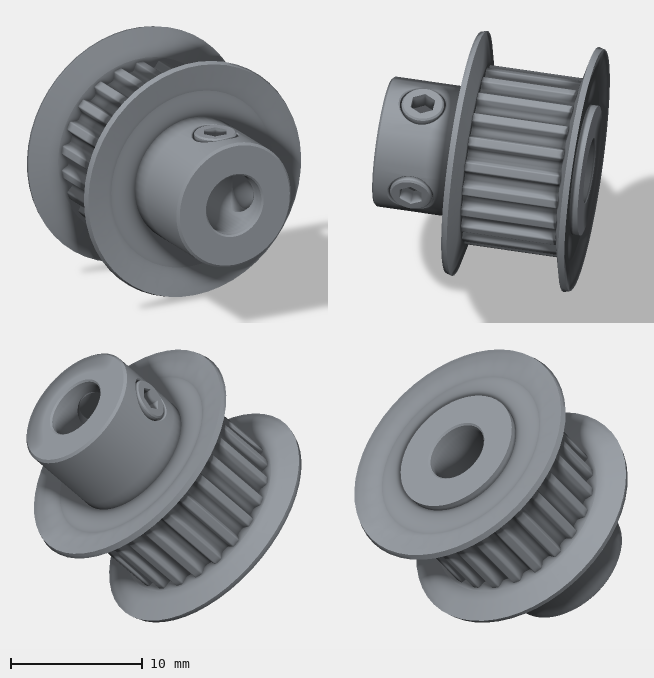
import cadquery as cq
import math


overall_length = 15.89
hub_radius = 4.98
hub_end_chamfer = 0.19
bore_radius = 2.39
bore_chamfer = 0.13

flange_radius = 9.4
flange_rim_drop = 0.13
flange_rim_width = 0.45
flange_flat_thickness = 0.64
flange_angle = math.radians(15)
flange_inner_flat_radius = 7.15
flange_outer_flat_radius = 7.05
teeth_start = 1.26
teeth_end = 8.65

tooth_count = 22
tooth_tip_radius = 6.86
groove_depth = 0.64
groove_floor_half_width = 0.32
groove_flank_angle = math.radians(28)
groove_floor_fillet = 0.26
tooth_tip_fillet = 0.13

screw_x = 12.88
screw_radius = 1.62
screw_chamfer = 0.122
screw_top = hub_radius
screw_bottom = bore_radius
socket_flat_width = 1.71
socket_depth = 1.32
screw_hole_radius = 1.75
screw_hole_chamfer = 0.1
screw_turns = [0, -90]


def revolve_about_x(points):
    """Solid of revolution from (x, radius) points; its seam lies on the -Z side."""
    outline = [(x, -radius) for x, radius in points]
    return cq.Workplane("XZ").polyline(outline).close().revolve(360, (0, 0, 0), (1, 0, 0))


def turn_about_x(body, turn):
    return body.rotate((0, 0, 0), (1, 0, 0), turn)


def x_cylinder(radius, start, end):
    return cq.Workplane("YZ", origin=(start, 0, 0)).circle(radius).extrude(end - start)


def make_flange(inner_face_x, outward):
    """Dished disc with its flat inner face at inner_face_x; outward is -1 or 1 along X."""
    rim_start = (flange_radius - flange_inner_flat_radius) * math.tan(flange_angle)
    outline = [
        (0, 0),
        (0, flange_inner_flat_radius),
        (rim_start, flange_radius),
        (rim_start + flange_rim_width, flange_radius - flange_rim_drop),
        (flange_flat_thickness, flange_outer_flat_radius),
        (flange_flat_thickness, 0),
    ]
    points = [(inner_face_x + outward * dx, radius) for dx, radius in outline]
    return revolve_about_x(points)


def make_groove_cutter():
    """Prism for the groove on the +Y side, with a rounded floor, reaching past the tooth tips."""
    floor_y = tooth_tip_radius - groove_depth
    cutter_height = 2 * groove_depth
    top_half_width = groove_floor_half_width + cutter_height * math.tan(groove_flank_angle)
    outline = [
        (floor_y, -groove_floor_half_width),
        (floor_y, groove_floor_half_width),
        (floor_y + cutter_height, top_half_width),
        (floor_y + cutter_height, -top_half_width),
    ]
    cutter = (
        cq.Workplane("YZ", origin=(teeth_start, 0, 0))
        .polyline(outline).close()
        .extrude(teeth_end - teeth_start)
    )
    return cutter.edges("|X").edges("<Y").fillet(groove_floor_fillet)


def make_toothed_ring():
    ring = x_cylinder(tooth_tip_radius, teeth_start, teeth_end)
    cutter = make_groove_cutter()
    for index in range(tooth_count):
        turn = 360 / tooth_count * index
        ring = ring.cut(turn_about_x(cutter, turn))
    tip_zone_radius = tooth_tip_radius - groove_depth / 2
    tip_edges = ring.edges("|X").filter(
        lambda edge: math.hypot(edge.Center().y, edge.Center().z) > tip_zone_radius
    )
    return tip_edges.fillet(tooth_tip_fillet)


def make_hub():
    """Solid hub with the screw holes, which end on the pulley axis and have chamfered mouths."""
    hub = revolve_about_x([
        (0, 0),
        (0, hub_radius),
        (overall_length - hub_end_chamfer, hub_radius),
        (overall_length, hub_radius - hub_end_chamfer),
        (overall_length, 0),
    ])
    hole = cq.Workplane("XY").center(screw_x, 0).circle(screw_hole_radius).extrude(2 * hub_radius)
    mouth_region = cq.selectors.BoxSelector(
        (screw_x - screw_hole_radius, -screw_hole_radius, hub_radius / 2),
        (screw_x + screw_hole_radius, screw_hole_radius, hub_radius * 2),
    )
    for turn in screw_turns:
        hub = turn_about_x(hub, -turn).cut(hole)
        hub = hub.edges(mouth_region).edges(">Z").chamfer(screw_hole_chamfer)
        hub = turn_about_x(hub, turn)
    return hub


def make_bore_cutter():
    """Revolved bore, widened by a chamfer at each end."""
    mouth_radius = bore_radius + bore_chamfer
    outline = [
        (0, 0),
        (0, mouth_radius),
        (bore_chamfer, bore_radius),
        (overall_length - bore_chamfer, bore_radius),
        (overall_length, mouth_radius),
        (overall_length, 0),
    ]
    return revolve_about_x(outline)


def make_pulley():
    return (
        make_hub()
        .union(make_toothed_ring())
        .union(make_flange(teeth_start, -1))
        .union(make_flange(teeth_end, 1))
        .cut(make_bore_cutter())
    )


def make_screw(turn):
    """Set screw with a hexagon socket, made along +Z and turned about the X axis."""
    screw = (
        cq.Workplane("XY", origin=(screw_x, 0, screw_bottom))
        .circle(screw_radius)
        .extrude(screw_top - screw_bottom)
        .faces(">Z").chamfer(screw_chamfer)
    )
    socket = (
        cq.Workplane("XY", origin=(screw_x, 0, screw_top - socket_depth))
        .polygon(6, socket_flat_width, circumscribed=True)
        .extrude(socket_depth)
    )
    return turn_about_x(screw.cut(socket), turn)


pulley = make_pulley()
screws = [make_screw(turn) for turn in screw_turns]
result = cq.Compound.makeCompound([pulley.val(), *[screw.val() for screw in screws]])